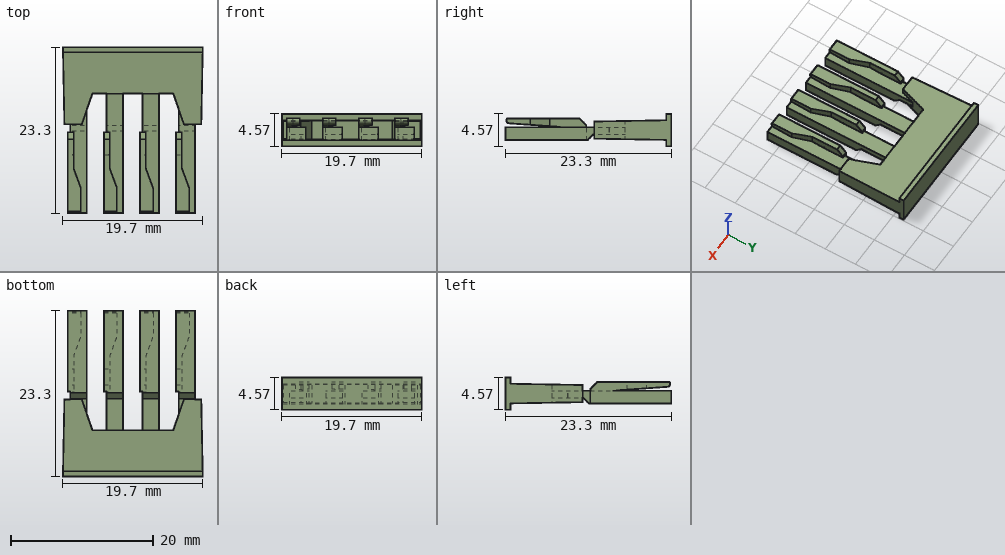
import cadquery as cq
import math

total_length = 23.33

handle_width = 19.71
flange_height = 4.57
flange_depth = 0.72
body_root_height = 2.8
handle_depth = 10.855
face_draft = math.tan(math.radians(1))
end_draft = math.tan(math.radians(1.1))
notch_depth = 6.53
notch_root_half_width = 5.67
notch_mouth_half_width = 7.19

pin_count = 4
pin_pitch = 5.08
first_pin_left = -9.17
pin_width = 2.71
pin_top = 0.40
pin_bottom = -1.40
shoulder_depth = 11.94

neck_inset = 0.36
neck_thickness = 1.0
neck_ramp_end_depth = 11.76
neck_embed_depth = 5.5

tongue_top = 1.65
tongue_heel_rise = 0.27
tongue_root_width = 0.84
tongue_tip_width = 1.86
taper_start_depth = 17.08
taper_end_depth = 19.83
slit_start_depth = 15.16
slit_angle = math.radians(4)
tongue_tip_depth = 23.19
tip_mid_height = 1.35
tip_top_setback = 0.12
tip_lower_setback = 0.36


def extrude_across(profile, left, width):
    """Extrude a closed YZ profile along +X, starting from X = left."""
    return profile.extrude(width).translate((left, 0, 0))


def make_handle():
    """T-section handle, drafted at its ends and faces, with a notch between two arms."""
    flange_half = flange_height / 2
    root_half = body_root_height / 2
    tip_half = root_half - (handle_depth - flange_depth) * face_draft
    section = (
        cq.Workplane("YZ")
        .moveTo(0, flange_half)
        .lineTo(-flange_depth, flange_half)
        .lineTo(-flange_depth, root_half)
        .lineTo(-handle_depth, tip_half)
        .lineTo(-handle_depth, -tip_half)
        .lineTo(-flange_depth, -root_half)
        .lineTo(-flange_depth, -flange_half)
        .lineTo(0, -flange_half)
        .close()
    )
    back_half = handle_width / 2
    arm_half = back_half - handle_depth * end_draft
    outline = (
        cq.Workplane("XY")
        .polyline([
            (-back_half, 0),
            (-arm_half, -handle_depth),
            (-notch_mouth_half_width, -handle_depth),
            (-notch_root_half_width, -notch_depth),
            (notch_root_half_width, -notch_depth),
            (notch_mouth_half_width, -handle_depth),
            (arm_half, -handle_depth),
            (back_half, 0),
        ])
        .close()
        .extrude(flange_half, both=True)
    )
    return extrude_across(section, -back_half, handle_width).intersect(outline)


def make_neck(left):
    """Thin strip rooted in the handle that ramps down at 45 degrees to the pin's full depth."""
    neck_bottom = pin_top - neck_thickness
    ramp_start_depth = neck_ramp_end_depth - (neck_bottom - pin_bottom)
    profile = (
        cq.Workplane("YZ")
        .moveTo(-neck_embed_depth, pin_top)
        .lineTo(-shoulder_depth, pin_top)
        .lineTo(-shoulder_depth, pin_bottom)
        .lineTo(-neck_ramp_end_depth, pin_bottom)
        .lineTo(-ramp_start_depth, neck_bottom)
        .lineTo(-neck_embed_depth, neck_bottom)
        .close()
    )
    return extrude_across(profile, left + neck_inset, pin_width - neck_inset)


def make_blade(left):
    """Rectangular contact blade below the tongue."""
    return cq.Workplane("XY").box(
        pin_width, total_length - shoulder_depth, pin_top - pin_bottom, centered=False
    ).translate((left, -total_length, pin_bottom))


def make_tongue(left):
    """Spring tongue with a 45 degree heel, a slit beneath it, a round tip and a widening plan."""
    heel_bottom = pin_top + tongue_heel_rise
    heel_end_depth = shoulder_depth + tongue_top - heel_bottom
    lower_tip_depth = tongue_tip_depth - tip_lower_setback
    lower_tip_height = pin_top + (lower_tip_depth - slit_start_depth) * math.tan(slit_angle)
    profile = (
        cq.Workplane("YZ")
        .moveTo(-shoulder_depth, pin_top)
        .lineTo(-shoulder_depth, heel_bottom)
        .lineTo(-heel_end_depth, tongue_top)
        .lineTo(-(tongue_tip_depth - tip_top_setback), tongue_top)
        .threePointArc((-tongue_tip_depth, tip_mid_height), (-lower_tip_depth, lower_tip_height))
        .lineTo(-slit_start_depth, pin_top)
        .close()
    )
    plan = (
        cq.Workplane("XY")
        .polyline([
            (left, -shoulder_depth),
            (left + tongue_root_width, -shoulder_depth),
            (left + tongue_root_width, -taper_start_depth),
            (left + tongue_tip_width, -taper_end_depth),
            (left + tongue_tip_width, -total_length),
            (left, -total_length),
        ])
        .close()
        .extrude(tongue_top)
    )
    return extrude_across(profile, left, pin_width).intersect(plan)


result = make_handle()
for pin_index in range(pin_count):
    pin_left = first_pin_left + pin_index * pin_pitch
    result = result.union(make_neck(pin_left))
    result = result.union(make_blade(pin_left))
    result = result.union(make_tongue(pin_left))